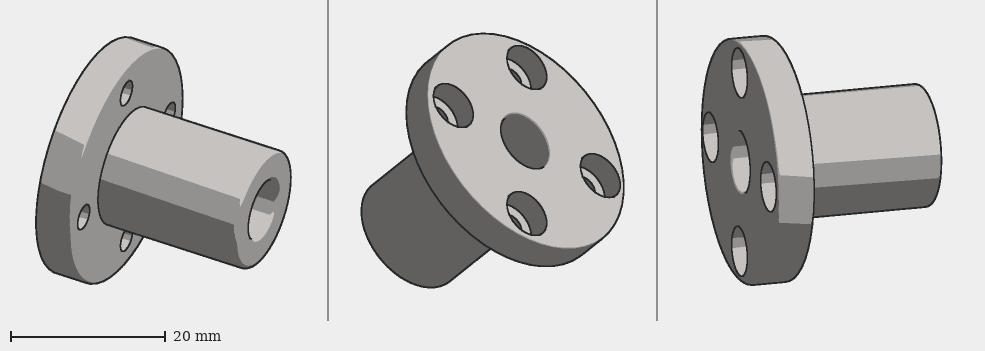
import cadquery as cq

total_length = 25.0
flange_diameter = 32
flange_thickness = 5.0
barrel_diameter = 16
bore_diameter = 8

flange_edge_radius = 0.3
barrel_edge_radius = 0.5
bore_edge_radius = 0.5

screw_count = 4
screw_circle_diameter = 24
screw_hole_diameter = 3.4
counterbore_diameter = 6.5
counterbore_depth = 3.3


def cylinder_along_x(diameter, length):
    """Cylinder on the X axis, starting at the flange face."""
    return cq.Workplane("YZ").circle(diameter / 2).extrude(length)


def make_flange():
    flange = cylinder_along_x(flange_diameter, flange_thickness)
    return flange.edges("%CIRCLE").fillet(flange_edge_radius)


def make_barrel():
    barrel = cylinder_along_x(barrel_diameter, total_length)
    return barrel.faces(">X").edges().fillet(barrel_edge_radius)


def cut_bore(body):
    """Through bore with both of its mouths rounded."""
    bored = body.cut(cylinder_along_x(bore_diameter, total_length))
    mouths = bored.faces("<X or >X").edges(cq.selectors.RadiusNthSelector(0))
    return mouths.fillet(bore_edge_radius)


def cut_screw_holes(body):
    """Screw holes, counterbored from the flange face."""
    hole = cylinder_along_x(screw_hole_diameter, flange_thickness)
    hole = hole.union(cylinder_along_x(counterbore_diameter, counterbore_depth))
    hole = hole.translate((0, screw_circle_diameter / 2, 0))
    for index in range(screw_count):
        angle = index * 360 / screw_count
        body = body.cut(hole.rotate((0, 0, 0), (1, 0, 0), angle))
    return body


result = make_flange().union(make_barrel())
result = cut_bore(result)
result = cut_screw_holes(result)